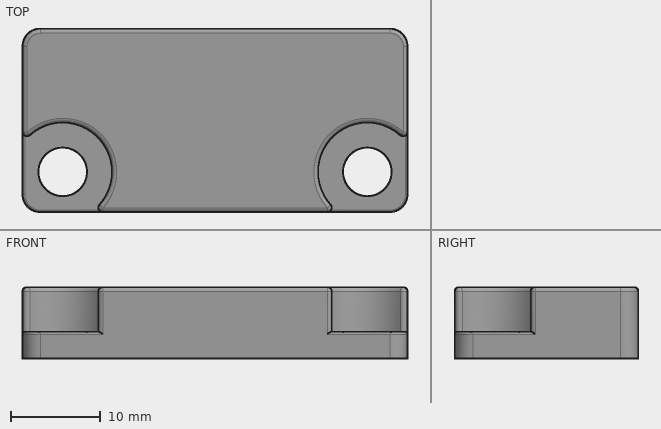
import cadquery as cq

length = 43.0
width = 20.5
height = 8.0
corner_radius = 2.0

ear_height = 3.0
hole_diameter = 5.4
hole_inset = 4.5
recess_radius = 5.5

block_fillet = 0.5
ear_fillet = 0.25

sides = (-1, 1)
hole_points = [(side * (length / 2 - hole_inset), hole_inset - width / 2) for side in sides]
ear_corners = [(side * length / 2, -width / 2) for side in sides]


def make_block():
    """Rectangular block with rounded vertical corners."""
    block = cq.Workplane("XY").box(length, width, height, centered=(True, True, False))
    return block.edges("|Z").fillet(corner_radius)


def make_recesses():
    """Cylindrical cutters around the screw holes, squared off so they clear the block corners."""
    floor = cq.Workplane("XY").workplane(offset=ear_height)
    depth = height - ear_height
    cylinders = floor.pushPoints(hole_points).circle(recess_radius).extrude(depth)
    corners = floor.pushPoints(ear_corners).rect(2 * hole_inset, 2 * hole_inset).extrude(depth)
    return cylinders.union(corners)


def make_holes():
    """Through-hole cutters, concentric with the recesses."""
    return cq.Workplane("XY").pushPoints(hole_points).circle(hole_diameter / 2).extrude(height)


def edges_centred_in(body, direction, y_limit, z_low, z_high):
    """Edges of a direction whose centres lie below y_limit and between two heights."""
    zone = cq.selectors.BoxSelector((-length, -width, z_low), (length, y_limit, z_high))
    return body.edges(direction).edges(zone)


def round_block_edges(body):
    """Round the sharp upright edges beside each recess, then the whole top rim."""
    recess_back = hole_inset + recess_radius - width / 2
    body = edges_centred_in(body, "|Z", recess_back, ear_height, height).fillet(block_fillet)
    return body.faces(">Z").edges().fillet(block_fillet)


def round_ear_edges(body):
    """Round the outer rim of each ear; the fillet follows the straight edges around the corner."""
    z_low = ear_height - ear_fillet
    z_high = ear_height + ear_fillet
    return edges_centred_in(body, "|X or |Y", width, z_low, z_high).fillet(ear_fillet)


body = make_block().cut(make_recesses())
body = round_block_edges(body)
body = round_ear_edges(body)
result = body.cut(make_holes())